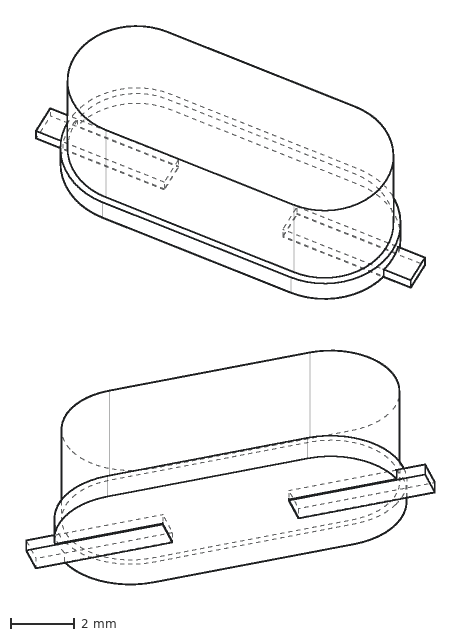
import cadquery as cq

overall_length = 13.21
overall_height = 4.35
base_width = 4.8
base_height = 0.8
straight_length = 6.63
flange_step = 0.22
lead_width = 1.0
lead_thickness = 0.4
lead_length = 4.52
lead_drop = 0.04

base_length = straight_length + base_width
can_width = base_width - 2 * flange_step
can_length = straight_length + can_width
can_height = overall_height - lead_drop - base_height
lead_center = (overall_length - lead_length) / 2


def make_stadium(length, width, height, bottom):
    """Upright block with fully rounded ends, standing at the given level."""
    return cq.Workplane("XY").workplane(offset=bottom).slot2D(length, width).extrude(height)


def make_lead(side):
    """Flat strip lead; side is -1 or +1 along X."""
    return (
        cq.Workplane("XY")
        .workplane(offset=-lead_drop)
        .center(side * lead_center, 0)
        .rect(lead_length, lead_width)
        .extrude(lead_thickness)
    )


def make_base(leads):
    """Flanged base with a matching recess for each lead in its underside."""
    base = make_stadium(base_length, base_width, base_height, 0)
    for lead in leads:
        base = base.cut(lead)
    return base


leads = [make_lead(side) for side in (-1, 1)]
base = make_base(leads)
can = make_stadium(can_length, can_width, can_height, base_height)

result = cq.Compound.makeCompound([base.val(), can.val(), *[lead.val() for lead in leads]])